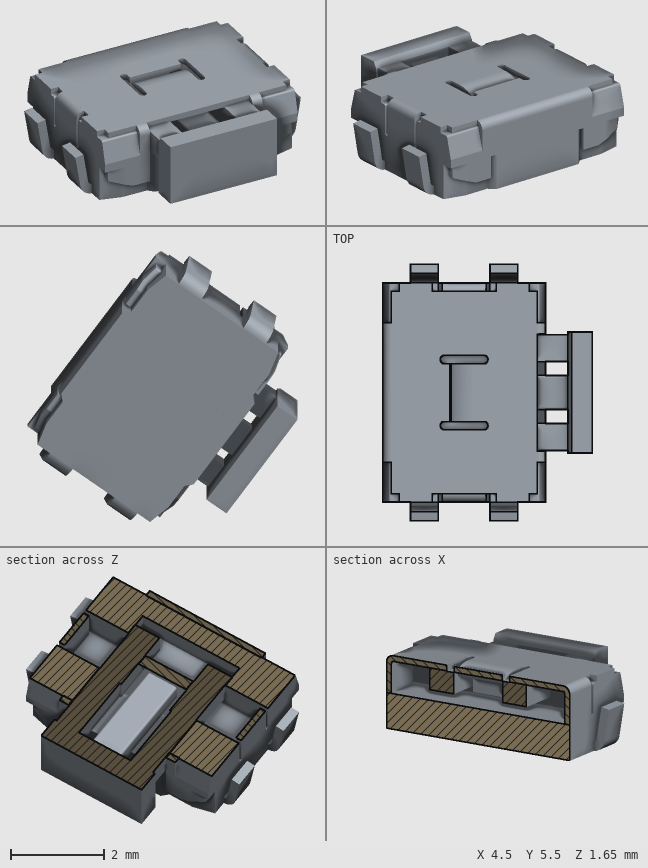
import cadquery as cq
import math


OVERALL_LENGTH = 5.5
HEIGHT = 1.65
HALF_X = 1.75
HALF_Y = 2.35

SHEET = 0.14
BEND_RADIUS = 0.18
INNER_BEND = BEND_RADIUS - SHEET
FLANGE_BOTTOM = 0.805
FLANGE_HALF_Y = 1.495
FLAP_HALF_X = 0.475
CORNER_RELIEF = 0.175
FLAP_RELIEF_HALF_X = 0.69
PLATE_HALF_X = HALF_X - BEND_RADIUS

FOOT_BOTTOM = 0.295
FOOT_TIP_BOTTOM = 0.515
FOOT_START_Y = 1.255
FOOT_SLOPE_Y = 1.655
FOOT_END_Y = 2.235
FOOT_CORNER_RADIUS = 0.055
FOOT_INNER_BEND = 0.055

SLIT_HALF_LENGTH = 0.51
SLIT_WIDTH = 0.175
SLIT_Y = 0.71
LOUVER_ROOT_X = 0.175
LOUVER_TIP_X = -0.28
LOUVER_GAP = 0.035
LOUVER_DROP = 0.14

BASE_TOP = HEIGHT - SHEET
BASE_HALF_X = HALF_X - SHEET
BASE_END_HALF_X = 1.485
TAPER_START_Y = 1.85
STOP_HALF_Y = FOOT_START_Y
SHOULDER_TOP = 1.0
SHOULDER_FILLET = 0.05
NOTCH_HALF_X = 0.55
NOTCH_FLOOR = FLANGE_BOTTOM
NOTCH_FILLET = 0.045
NOTCH_RIM_FILLET = 0.04
POCKET_END_X = -1.1

EDGE_MARGIN = 0.055

ARM_INNER_Y = 0.66
ARM_OUTER_Y = 1.245
ARM_BOTTOM = 1.03
ARM_END_X = -0.825
PAD_INNER_Y = 0.62
PAD_END_X = 0.66
TONGUE_HALF_Y = 0.37
TONGUE_TOP = 1.375
TONGUE_END_X = 0.0
TONGUE_FILLET = 0.055
BUTTON_THICKNESS = 0.53
BUTTON_HALF_Y = 1.3
BUTTON_BOTTOM = 0.255
BUTTON_CHAMFER_X = 0.08
BUTTON_CHAMFER_Z = 0.145
BUTTON_FRONT_X = 2.75
BUTTON_BACK_X = BUTTON_FRONT_X - BUTTON_THICKNESS

LEAD_X = 0.85
LEAD_WIDTH = 0.6
LEAD_THICKNESS = 0.2
LEAD_BEND_RADIUS = 0.3
LEAD_LEAN = math.radians(9.5)
LEAD_TIP_Z = 0.98


def block(x0, x1, y0, y1, z0, z1):
    """Box between two opposite corners."""
    return cq.Workplane("XY").box(x1 - x0, y1 - y0, z1 - z0, centered=False).translate((x0, y0, z0))


def on_both_sides(body, plane):
    """The body together with its mirror image."""
    return body.union(body.mirror(plane))


def make_terminal(center_x):
    """Strip across the bottom of the base, bent up at both ends into leaning leads."""
    turn = math.pi / 2 - LEAD_LEAN
    inner_radius = LEAD_BEND_RADIUS - LEAD_THICKNESS
    bend_end_z = LEAD_BEND_RADIUS * (1 - math.cos(turn))
    lead_run = (LEAD_TIP_Z - bend_end_z) * math.tan(LEAD_LEAN)
    bend_y = OVERALL_LENGTH / 2 - lead_run - LEAD_BEND_RADIUS * math.sin(turn)

    def on_bend(radius, angle):
        return (bend_y + radius * math.sin(angle), LEAD_BEND_RADIUS - radius * math.cos(angle))

    tip_y = OVERALL_LENGTH / 2
    inner_tip = (
        tip_y - LEAD_THICKNESS * math.cos(LEAD_LEAN),
        LEAD_TIP_Z + LEAD_THICKNESS * math.sin(LEAD_LEAN),
    )
    half = (
        cq.Workplane("YZ")
        .moveTo(0, 0)
        .lineTo(bend_y, 0)
        .threePointArc(on_bend(LEAD_BEND_RADIUS, turn / 2), on_bend(LEAD_BEND_RADIUS, turn))
        .lineTo(tip_y, LEAD_TIP_Z)
        .lineTo(*inner_tip)
        .lineTo(*on_bend(inner_radius, turn))
        .threePointArc(on_bend(inner_radius, turn / 2), on_bend(inner_radius, 0))
        .lineTo(0, LEAD_THICKNESS)
        .close()
        .extrude(LEAD_WIDTH / 2, both=True)
    )
    return on_both_sides(half, "XZ").translate((center_x, 0, 0))


def make_stop(side, top):
    """Block with 45 degree ends on the -X or +X side, flush with the cover flange."""
    face_half_y = STOP_HALF_Y - SHEET
    outline = [
        (side * BASE_HALF_X, -STOP_HALF_Y),
        (side * HALF_X, -face_half_y),
        (side * HALF_X, face_half_y),
        (side * BASE_HALF_X, STOP_HALF_Y),
    ]
    return cq.Workplane("XY").polyline(outline).close().extrude(top)


def make_lower_base():
    """Floor with tapered ends and a stop in the middle of each long side.

    The +X stop rises up to the slider arms.
    """
    quarter = [(0, 0), (BASE_HALF_X, 0), (BASE_HALF_X, TAPER_START_Y), (BASE_END_HALF_X, HALF_Y), (0, HALF_Y)]
    floor = cq.Workplane("XY").polyline(quarter).close().extrude(FLANGE_BOTTOM)
    taper_edge = cq.selectors.NearestToPointSelector((BASE_HALF_X, TAPER_START_Y, FLANGE_BOTTOM / 2))
    floor = floor.edges(taper_edge).fillet(FOOT_INNER_BEND)
    floor = on_both_sides(on_both_sides(floor, "XZ"), "YZ")
    return floor.union(make_stop(-1, FLANGE_BOTTOM)).union(make_stop(1, ARM_BOTTOM))


def make_upper_base():
    """Walls under the cover, with sloping shoulders at the four corners."""
    middle = block(-BASE_HALF_X, BASE_HALF_X, -HALF_Y, HALF_Y, FLANGE_BOTTOM, BASE_TOP)
    middle = middle.edges("|Y and >Z").fillet(INNER_BEND)
    outline = [
        (-HALF_X, FLANGE_BOTTOM),
        (HALF_X, FLANGE_BOTTOM),
        (HALF_X, SHOULDER_TOP),
        (BASE_HALF_X, BASE_TOP),
        (-BASE_HALF_X, BASE_TOP),
        (-HALF_X, SHOULDER_TOP),
    ]
    upper_edges = cq.selectors.BoxSelector(
        (-HALF_X - EDGE_MARGIN, 0, SHOULDER_TOP - EDGE_MARGIN),
        (HALF_X + EDGE_MARGIN, HALF_Y, BASE_TOP + EDGE_MARGIN),
    )
    shoulders = (
        cq.Workplane("XZ", origin=(0, HALF_Y, 0))
        .polyline(outline)
        .close()
        .extrude(HALF_Y - FLANGE_HALF_Y)
        .edges("|Y")
        .edges(upper_edges)
        .fillet(SHOULDER_FILLET)
    )
    return middle.union(on_both_sides(shoulders, "XZ"))


def make_base(terminals):
    notch = block(-NOTCH_HALF_X, NOTCH_HALF_X, -HALF_Y, HALF_Y, NOTCH_FLOOR, HEIGHT)
    notch = notch.edges("|Y and <Z").fillet(NOTCH_FILLET)
    pocket = block(POCKET_END_X, HALF_X, -ARM_OUTER_Y, ARM_OUTER_Y, ARM_BOTTOM, HEIGHT)
    rim = cq.selectors.BoxSelector(
        (-NOTCH_HALF_X - EDGE_MARGIN, -HALF_Y, BASE_TOP - EDGE_MARGIN),
        (NOTCH_HALF_X + EDGE_MARGIN, HALF_Y, BASE_TOP + EDGE_MARGIN),
    )
    base = make_lower_base().union(make_upper_base()).cut(notch).cut(pocket)
    base = base.edges("|Y").edges(rim).fillet(NOTCH_RIM_FILLET)
    for terminal in terminals:
        base = base.cut(terminal)
    return base


def bent_channel(plane, half_span, half_width, bottom):
    """Sheet bent down along two opposite edges."""

    def rounded_bar(half, top, radius):
        return (
            cq.Workplane(plane)
            .moveTo(-half, bottom)
            .lineTo(-half, top - radius)
            .radiusArc((radius - half, top), radius)
            .lineTo(half - radius, top)
            .radiusArc((half, top - radius), radius)
            .lineTo(half, bottom)
            .close()
            .extrude(half_width, both=True)
        )

    inner = rounded_bar(half_span - SHEET, HEIGHT - SHEET, INNER_BEND)
    return rounded_bar(half_span, HEIGHT, BEND_RADIUS).cut(inner)


def make_top_plate():
    """Flat sheet with a relief at each corner and beside each end flap."""
    plate = block(-PLATE_HALF_X, PLATE_HALF_X, -HALF_Y, HALF_Y, BASE_TOP, HEIGHT)
    relief_y = HALF_Y - CORNER_RELIEF
    corner_x = PLATE_HALF_X - CORNER_RELIEF
    reliefs = block(-FLAP_RELIEF_HALF_X, FLAP_RELIEF_HALF_X, relief_y, HALF_Y, BASE_TOP, HEIGHT)
    for side in (-1, 1):
        inner_x, outer_x = sorted((side * corner_x, side * PLATE_HALF_X))
        reliefs = reliefs.union(block(inner_x, outer_x, relief_y, HALF_Y, BASE_TOP, HEIGHT))
    return plate.cut(on_both_sides(reliefs, "XZ"))


def make_feet():
    """Four feet that follow the tapered sides of the base."""
    taper = math.atan2(BASE_HALF_X - BASE_END_HALF_X, HALF_Y - TAPER_START_Y)
    outer_bend = FOOT_INNER_BEND + SHEET
    bend_shift = SHEET * math.tan(taper / 2)
    foot_inset = (FOOT_END_Y - TAPER_START_Y) * math.tan(taper)
    outer_bend_y = TAPER_START_Y + bend_shift
    outer_inset = (FOOT_END_Y - outer_bend_y) * math.tan(taper)
    plan = [
        (BASE_HALF_X, FOOT_START_Y),
        (HALF_X, FOOT_START_Y),
        (HALF_X, outer_bend_y),
        (HALF_X - outer_inset, FOOT_END_Y),
        (BASE_HALF_X - foot_inset, FOOT_END_Y),
        (BASE_HALF_X, TAPER_START_Y),
    ]
    strip = cq.Workplane("XY").polyline(plan).close().extrude(FLANGE_BOTTOM)
    for bend_point, radius in (
        ((BASE_HALF_X, TAPER_START_Y, FLANGE_BOTTOM / 2), FOOT_INNER_BEND),
        ((HALF_X, outer_bend_y, FLANGE_BOTTOM / 2), outer_bend),
    ):
        strip = strip.edges(cq.selectors.NearestToPointSelector(bend_point)).fillet(radius)
    side = [
        (FOOT_START_Y, FLANGE_BOTTOM),
        (FOOT_START_Y, FOOT_BOTTOM),
        (FOOT_SLOPE_Y, FOOT_BOTTOM),
        (FOOT_END_Y, FOOT_TIP_BOTTOM),
        (FOOT_END_Y, FLANGE_BOTTOM),
    ]
    side_shape = cq.Workplane("YZ").polyline(side).close().extrude(HALF_X)
    for corner in ((FOOT_END_Y, FOOT_TIP_BOTTOM), (FOOT_SLOPE_Y, FOOT_BOTTOM)):
        corner_edge = cq.selectors.NearestToPointSelector((HALF_X / 2, *corner))
        side_shape = side_shape.edges(corner_edge).fillet(FOOT_CORNER_RADIUS)
    foot = strip.intersect(side_shape)
    return on_both_sides(on_both_sides(foot, "XZ"), "YZ")


def make_louver():
    """Tongue of sheet between the slits, curving down toward -X."""
    run = LOUVER_ROOT_X - LOUVER_TIP_X
    radius = (run**2 + LOUVER_DROP**2) / (2 * LOUVER_DROP)
    sweep = math.asin(run / radius)

    def on_arc(arc_radius, angle):
        return (LOUVER_ROOT_X - arc_radius * math.sin(angle), HEIGHT - radius + arc_radius * math.cos(angle))

    return (
        cq.Workplane("XZ")
        .moveTo(*on_arc(radius, 0))
        .threePointArc(on_arc(radius, sweep / 2), on_arc(radius, sweep))
        .lineTo(*on_arc(radius - SHEET, sweep))
        .threePointArc(on_arc(radius - SHEET, sweep / 2), on_arc(radius - SHEET, 0))
        .close()
        .extrude(SLIT_Y - SLIT_WIDTH / 2, both=True)
    )


def make_cover():
    flanges = bent_channel("XZ", HALF_X, FLANGE_HALF_Y, FLANGE_BOTTOM)
    flaps = bent_channel("YZ", HALF_Y, FLAP_HALF_X, NOTCH_FLOOR)
    cover = make_top_plate().union(flanges).union(flaps).union(make_feet())

    slider_opening = block(PLATE_HALF_X, HALF_X, -STOP_HALF_Y, STOP_HALF_Y, FLANGE_BOTTOM, HEIGHT)
    slits = (
        cq.Workplane("XY", origin=(0, 0, BASE_TOP))
        .pushPoints([(0, -SLIT_Y), (0, SLIT_Y)])
        .slot2D(2 * SLIT_HALF_LENGTH, SLIT_WIDTH)
        .extrude(SHEET)
    )
    louver_window = block(LOUVER_TIP_X - LOUVER_GAP, LOUVER_ROOT_X, -SLIT_Y, SLIT_Y, BASE_TOP, HEIGHT)
    return cover.cut(slider_opening).cut(slits).cut(louver_window).union(make_louver())


def make_slider():
    """Push button on two guide arms, with a lower tongue between them.

    Inside the housing each arm widens up to the edge of the louver.
    """
    button_outline = [
        (BUTTON_BACK_X, BUTTON_BOTTOM),
        (BUTTON_FRONT_X, BUTTON_BOTTOM),
        (BUTTON_FRONT_X, HEIGHT),
        (BUTTON_BACK_X + BUTTON_CHAMFER_X, HEIGHT),
        (BUTTON_BACK_X, HEIGHT - BUTTON_CHAMFER_Z),
    ]
    button = cq.Workplane("XZ").polyline(button_outline).close().extrude(BUTTON_HALF_Y, both=True)
    arm = block(ARM_END_X, BUTTON_BACK_X, ARM_INNER_Y, ARM_OUTER_Y, ARM_BOTTOM, BASE_TOP)
    pad = block(ARM_END_X, PAD_END_X, PAD_INNER_Y, ARM_OUTER_Y, ARM_BOTTOM, BASE_TOP)
    arms = on_both_sides(arm.union(pad), "XZ")
    tongue = block(TONGUE_END_X, BUTTON_BACK_X, -TONGUE_HALF_Y, TONGUE_HALF_Y, ARM_BOTTOM, TONGUE_TOP)
    tongue = tongue.edges("|X and >Z").fillet(TONGUE_FILLET)
    return button.union(arms).union(tongue)


terminals = [make_terminal(x) for x in (-LEAD_X, LEAD_X)]
base = make_base(terminals)
cover = make_cover()
slider = make_slider()

result = cq.Compound.makeCompound(
    [base.val(), cover.val(), slider.val(), *[terminal.val() for terminal in terminals]]
)